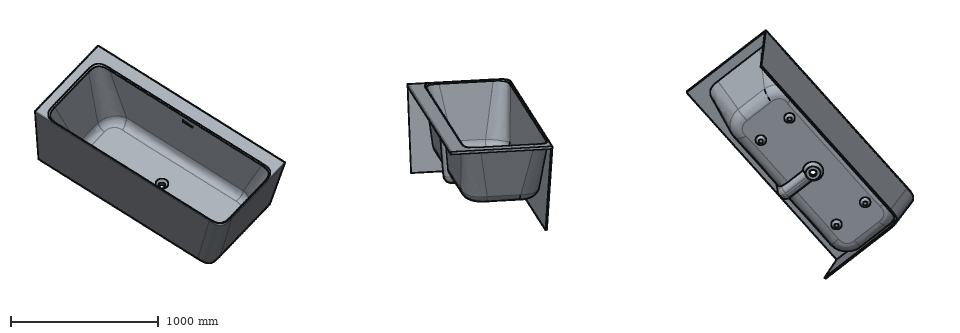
import cadquery as cq

length = 1600.0
width = 700.0
height = 590.0

front_lean = 38.0
end_lean = 130.0
apron_thickness = 11.0
rim_thickness = 20.0
rim_bottom_z = height - rim_thickness

edge_band = 6.0
apron_top_z = height - edge_band
rim_edge_radius = 5.0

apron_reach = 109.0
well_top_reach = 100.0
floor_reach = 147.0
apron_corner = 0.88
well_corner = 0.75
floor_corner = 0.55

lip_section = (69.0, 6.0, 1594.0, 597.0)
well_top_section = (82.0, 15.0, 1585.0, 587.0)
floor_section = (234.0, 46.0, 1478.0, 550.0)
lip_depth = 10.0
floor_z = 154.0
floor_radius = 65.0

shell_thickness = 13.0
shell_floor_thickness = 15.0
shell_floor_z = floor_z - shell_floor_thickness
shell_floor_radius = 90.0

drain_x = (floor_section[0] + floor_section[2]) / 2
drain_y = 300.0
drain_radius = 24.0
drain_sink_radius = 43.0
drain_boss_bottom_z = 102.0
drain_boss_radius = 50.0
drain_boss_top_radius = 72.0

slot_length = 83.0
slot_height = 11.0
slot_z = 531.0
slot_depth = 20.0
duct_width = 96.0
duct_top_y = 624.0
duct_lower_y = 592.0
duct_bottom_z = 105.0
duct_bend_radius = 56.0
duct_edge_radius = 40.0

foot_spacing_x = 800.0
foot_spacing_y = 253.0
foot_bottom_z = 118.0
foot_bottom_radius = 15.0
foot_top_radius = 42.0

overlap = 5.0
margin = 80.0


def corner_handles(start, sharp, end, fullness):
    """Control points of a rounded corner from start to end around a sharp corner."""
    handles = [
        tuple(p + fullness * (s - p) for p, s in zip(point, sharp))
        for point in (start, end)
    ]
    return [start, handles[0], handles[1], end]


def apron_outline(inset, z, run_out):
    """Outline of the apron at height z, moved in by inset, run_out past the left and back sides."""
    drop = 1 - z / apron_top_z
    front = front_lean * drop + inset
    right = length - end_lean * drop - inset
    left = -run_out
    back = width + run_out
    reach = apron_reach - inset
    corner = corner_handles((right - reach, front), (right, front), (right, front + reach), apron_corner)
    return (
        cq.Workplane("XY", origin=(0, 0, z))
        .moveTo(left, front)
        .lineTo(*corner[0])
        .bezier(corner[1:], includeCurrent=True)
        .lineTo(right, back)
        .lineTo(left, back)
        .close()
        .val()
    )


def well_outline(section, z, reach, fullness):
    """Rectangle (left, front, right, back) at height z with four rounded corners."""
    left, front, right, back = section
    corners = [
        corner_handles((right - reach, front), (right, front), (right, front + reach), fullness),
        corner_handles((right, back - reach), (right, back), (right - reach, back), fullness),
        corner_handles((left + reach, back), (left, back), (left, back - reach), fullness),
        corner_handles((left, front + reach), (left, front), (left + reach, front), fullness),
    ]
    outline = cq.Workplane("XY", origin=(0, 0, z)).moveTo(*corners[-1][-1])
    for corner in corners:
        outline = outline.lineTo(*corner[0]).bezier(corner[1:], includeCurrent=True)
    return outline.close().val()


def loft(lower, upper):
    return cq.Workplane(obj=cq.Solid.makeLoft([lower, upper], True))


def grown(section, distance):
    left, front, right, back = section
    return left - distance, front - distance, right + distance, back + distance


def basin(outset, bottom_z, bottom_radius, top_z):
    """Tapered bowl with a rounded floor edge, outset from the well."""
    bottom = well_outline(grown(floor_section, outset), bottom_z, floor_reach + outset, floor_corner)
    top = well_outline(grown(well_top_section, outset), top_z, well_top_reach + outset, well_corner)
    return loft(bottom, top).faces("<Z").edges().fillet(bottom_radius)


def cone(x, y, bottom_z, bottom_radius, top_z, top_radius):
    return cq.Workplane(
        obj=cq.Solid.makeCone(bottom_radius, top_radius, top_z - bottom_z, pnt=cq.Vector(x, y, bottom_z))
    )


rim_outline = apron_outline(0, apron_top_z, 0)
band = cq.Workplane(obj=cq.Solid.extrudeLinear(rim_outline, [], cq.Vector(0, 0, edge_band)))
band = band.faces(">Z").edges("not <X").fillet(rim_edge_radius)
block = loft(apron_outline(0, 0, 0), rim_outline)
hollow = loft(
    apron_outline(apron_thickness, 0, margin),
    apron_outline(apron_thickness, rim_bottom_z, margin),
)
body = band.union(block.cut(hollow))

well_top_z = height - lip_depth
body = body.union(basin(shell_thickness, shell_floor_z, shell_floor_radius, well_top_z))

duct = (
    cq.Workplane("YZ", origin=(drain_x - duct_width / 2, 0, 0))
    .moveTo(drain_y, duct_bottom_z)
    .lineTo(duct_lower_y - duct_bend_radius, duct_bottom_z)
    .radiusArc((duct_lower_y, duct_bottom_z + duct_bend_radius), -duct_bend_radius)
    .lineTo(duct_top_y, rim_bottom_z + overlap)
    .lineTo(drain_y, rim_bottom_z + overlap)
    .close()
    .extrude(duct_width)
)
duct = duct.faces("<X or >X").edges("(not <Y) and (not >Z)").fillet(duct_edge_radius)
body = body.union(duct)

foot_top_z = shell_floor_z + overlap
body = body.union(
    cone(drain_x, drain_y, drain_boss_bottom_z, drain_boss_radius, foot_top_z, drain_boss_top_radius)
)
for side_x in (-1, 1):
    for side_y in (-1, 1):
        foot_x = drain_x + side_x * foot_spacing_x / 2
        foot_y = drain_y + side_y * foot_spacing_y / 2
        body = body.union(
            cone(foot_x, foot_y, foot_bottom_z, foot_bottom_radius, foot_top_z, foot_top_radius)
        )

body = body.cut(basin(0, floor_z, floor_radius, well_top_z))
lip = loft(
    well_outline(well_top_section, well_top_z, well_top_reach, well_corner),
    well_outline(lip_section, height, well_top_reach, well_corner),
)
body = body.cut(lip)

funnel_bottom_z = floor_z - (drain_sink_radius - drain_radius)
body = body.cut(cone(drain_x, drain_y, funnel_bottom_z, drain_radius, floor_z, drain_sink_radius))
body = body.cut(
    cq.Workplane("XY", origin=(drain_x, drain_y, 0)).circle(drain_radius).extrude(floor_z)
)

wall_share = (slot_z - floor_z) / (well_top_z - floor_z)
slot_wall_y = floor_section[3] + wall_share * (well_top_section[3] - floor_section[3])
slot = cq.Workplane("XY", origin=(drain_x, slot_wall_y, slot_z)).box(slot_length, 2 * slot_depth, slot_height)
result = body.cut(slot)